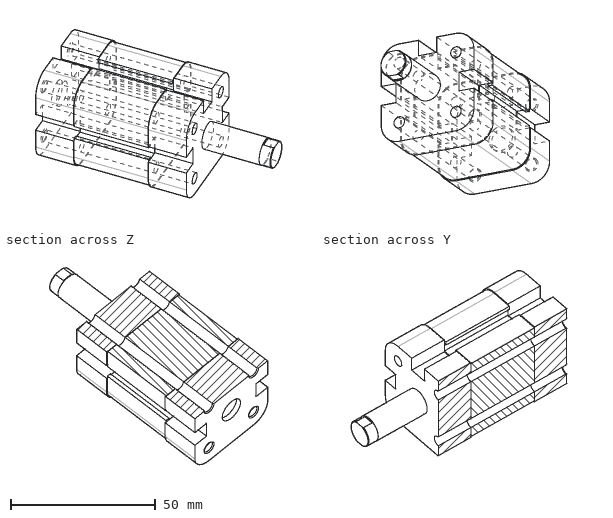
import cadquery as cq
total_length = 83.0
rear_cap_length = 14.4
barrel_length = 28.2
front_cap_length = 14.45
barrel_start = rear_cap_length
front_cap_start = barrel_start + barrel_length
front_face = front_cap_start + front_cap_length

cap_width = 36.0
cap_corner_radius = 7.05
barrel_inset = 0.4
barrel_width = cap_width - 2 * barrel_inset
barrel_corner_radius = cap_corner_radius - barrel_inset

slot_angles = (-90, 0, 90)
slot_width = 7.0
cap_slot_depth = 5.7
barrel_slot_depth = 5.3
lip_opening = 5.3
lip_bottom_depth = 1.9

bolt_spacing = 22.0
bolt_hole_diameter = 4.1
bolt_chamfer = 0.4

recess_diameter = 9.05
recess_depth = 1.9

rod_diameter = 10.0
tip_diameter = 9.8
tip_length = 4.3
flat_distance = 4.5
flat_start_distance = 4.65
flat_runout = 0.3
rod_end_chamfer = 0.25


def rounded_block(start, length, width, corner_radius):
    """Square bar along X with rounded lengthwise edges."""
    return (
        cq.Workplane("YZ", origin=(start, 0, 0))
        .rect(width, width)
        .extrude(length)
        .edges("|X")
        .fillet(corner_radius)
    )


def cut_slots(body, start, length, width, floor_depth, top_depth=0):
    """Cut a channel along each slotted side, between two depths below the cap surface."""
    height = floor_depth - top_depth
    channel = cq.Workplane("XY").box(length, width, height, centered=(False, True, False))
    channel = channel.translate((start, 0, cap_width / 2 - floor_depth))
    for angle in slot_angles:
        body = body.cut(channel.rotate((0, 0, 0), (1, 0, 0), angle))
    return body


def bolt_holes(start, length):
    """Four round cutters along X on the bolt square."""
    return (
        cq.Workplane("YZ", origin=(start, 0, 0))
        .rect(bolt_spacing, bolt_spacing, forConstruction=True)
        .vertices()
        .circle(bolt_hole_diameter / 2)
        .extrude(length)
    )


def make_cap(start, length):
    cap = rounded_block(start, length, cap_width, cap_corner_radius)
    cap = cut_slots(cap, start, length, slot_width, cap_slot_depth)
    return cap.cut(bolt_holes(start, length))


def make_rear_cap():
    cap = make_cap(0, rear_cap_length)
    hole_rims = cap.faces("<X").edges(cq.selectors.RadiusNthSelector(0))
    cap = cap.newObject(hole_rims.vals()).chamfer(bolt_chamfer)
    recess = cq.Workplane("YZ").circle(recess_diameter / 2).extrude(recess_depth)
    return cap.cut(recess)


def make_barrel():
    barrel = rounded_block(barrel_start, barrel_length, barrel_width, barrel_corner_radius)
    barrel = cut_slots(barrel, barrel_start, barrel_length, lip_opening, barrel_slot_depth)
    barrel = cut_slots(
        barrel, barrel_start, barrel_length, slot_width, barrel_slot_depth, lip_bottom_depth
    )
    return barrel.cut(bolt_holes(barrel_start, barrel_length))


def make_rod():
    tip_start = total_length - tip_length
    tip_radius = tip_diameter / 2
    shank = cq.Workplane("YZ", origin=(front_face, 0, 0)).circle(rod_diameter / 2)
    shank = shank.extrude(tip_start - front_face)
    tip = cq.Workplane("YZ", origin=(tip_start, 0, 0)).circle(tip_radius)
    tip = tip.extrude(tip_length).faces(">X").chamfer(rod_end_chamfer)
    for side in (-1, 1):
        flat = (
            cq.Workplane("XZ")
            .moveTo(tip_start, side * tip_radius)
            .lineTo(tip_start, side * flat_start_distance)
            .lineTo(tip_start + flat_runout, side * flat_distance)
            .lineTo(total_length, side * flat_distance)
            .lineTo(total_length, side * tip_radius)
            .close()
            .extrude(tip_radius, both=True)
        )
        tip = tip.cut(flat)
    return shank.union(tip)


rear_cap = make_rear_cap()
barrel = make_barrel()
front_cap = make_cap(front_cap_start, front_cap_length)
rod = make_rod()

result = cq.Compound.makeCompound([rear_cap.val(), barrel.val(), front_cap.val(), rod.val()])